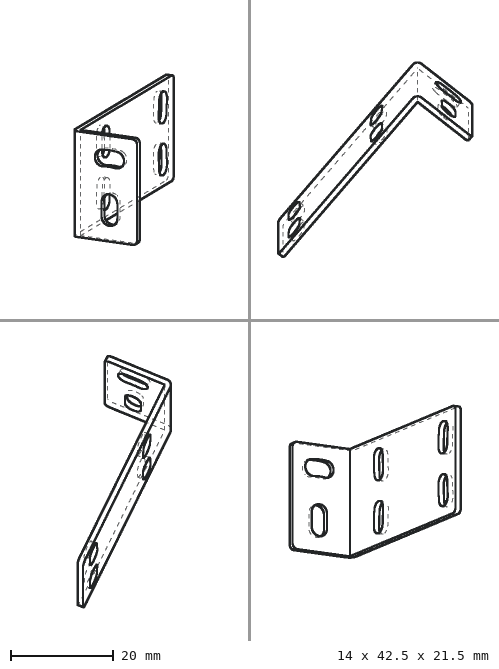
import cadquery as cq
import math

short_leg = 14.0
long_leg = 42.5
height = 21.5
thickness = 1.2
bend_radius = thickness
corner_radius = 1.0

slot_width = 3.4
slot_travel = 3.0

short_slot_x = 8.0
straight_slot_z = 6.4
curved_slot_radius = 10.5
curved_slot_sweep = math.radians(16)

near_slot_y = 12.38
slot_spacing_y = 25.22
slot_spacing_z = 10.6
slot_tilt = 3.4

cut_depth = 4 * thickness


def make_angle():
    """L-shaped plate with its outer bend and its free corners rounded."""
    angle = (
        cq.Workplane("XY")
        .polyline([
            (0, 0),
            (short_leg, 0),
            (short_leg, thickness),
            (thickness, thickness),
            (thickness, long_leg),
            (0, long_leg),
        ])
        .close()
        .extrude(height)
    )
    angle = angle.edges("|Z and <X and <Y").fillet(bend_radius)
    angle = angle.faces(">X").edges("|Y").fillet(corner_radius)
    return angle.faces(">Y").edges("|X").fillet(corner_radius)


def make_curved_slot():
    """Slot along X on the short leg, following an arc about the straight slot's centre."""
    half_angle = curved_slot_sweep / 2
    inner_radius = curved_slot_radius - slot_width / 2
    outer_radius = curved_slot_radius + slot_width / 2

    def polar(radius, angle):
        """Point on the leg at an angle from vertical about the straight slot's centre."""
        return (
            short_slot_x + radius * math.sin(angle),
            straight_slot_z + radius * math.cos(angle),
        )

    def cap_tip(side):
        """Outermost point of the round end on the given side."""
        x, z = polar(curved_slot_radius, side * half_angle)
        cap_radius = slot_width / 2
        return (
            x + side * cap_radius * math.cos(half_angle),
            z - cap_radius * math.sin(half_angle),
        )

    return (
        cq.Workplane("XZ")
        .moveTo(*polar(outer_radius, -half_angle))
        .threePointArc(polar(outer_radius, 0), polar(outer_radius, half_angle))
        .threePointArc(cap_tip(1), polar(inner_radius, half_angle))
        .threePointArc(polar(inner_radius, 0), polar(inner_radius, -half_angle))
        .threePointArc(cap_tip(-1), polar(outer_radius, -half_angle))
        .close()
        .extrude(cut_depth, both=True)
    )


def make_straight_slot(plane, across, z, tilt):
    """Straight slot at (across, z) in the plane, turned by tilt degrees from vertical."""
    return (
        cq.Workplane(plane)
        .center(across, z)
        .slot2D(slot_travel + slot_width, slot_width, 90 + tilt)
        .extrude(cut_depth, both=True)
    )


def cut_long_leg_slots(body):
    """Cut the near and far pairs of tilted slots through the long leg."""
    far_slot_y = near_slot_y + slot_spacing_y
    for slot_y, lean in ((near_slot_y, slot_tilt), (far_slot_y, -slot_tilt)):
        for z_side in (-1, 1):
            slot_z = height / 2 + z_side * slot_spacing_z / 2
            body = body.cut(make_straight_slot("YZ", slot_y, slot_z, z_side * lean))
    return body


result = make_angle()
result = result.cut(make_curved_slot())
result = result.cut(make_straight_slot("XZ", short_slot_x, straight_slot_z, 0))
result = cut_long_leg_slots(result)